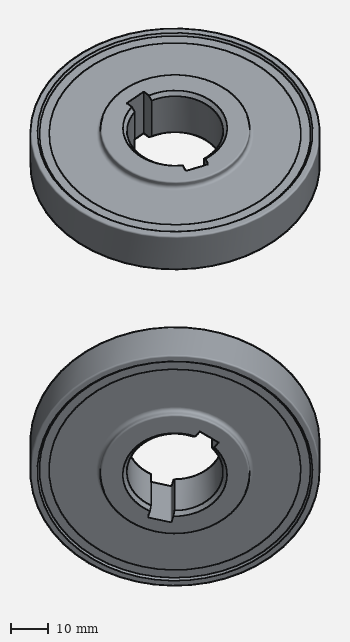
import cadquery as cq

wheel_radius = 38.1
rim_width = 12.7
rim_fillet = 0.45
split_radius = 66.2 / 2

recess_depth = 0.6
recess_top_radius = 36.2
recess_floor_radius = 35.65
web_width = rim_width - 2 * recess_depth

boss_radius = 39.3 / 2
boss_width = 15.85
boss_fillet = 0.45
boss_root_fillet = 1.0

bore_radius = 12.65
bore_chamfer = 1.1
main_key_width = 6.4
main_key_reach = 15.5
main_key_fillet = 0.4
second_key_width = 6.1
second_key_reach = 15.3
second_key_angle = 201.0


def keyway_cutter(width, reach, angle):
    """Bar running from the bore axis to the keyway floor, through the full boss width."""
    bar = cq.Workplane("XY").box(reach, width, boss_width, centered=(False, True, True))
    return bar.rotate((0, 0, 0), (0, 0, 1), angle)


def make_hub():
    """Disc with a boss on each face, a chamfered bore and two keyways."""
    web = cq.Workplane("XY").circle(split_radius).extrude(web_width / 2, both=True)
    boss = cq.Workplane("XY").circle(boss_radius).extrude(boss_width / 2, both=True)
    boss = boss.faces("<Z or >Z").edges().fillet(boss_fillet)
    hub = web.union(boss)

    root_edges = cq.selectors.RadiusNthSelector(0)
    for face_z in (-web_width / 2, web_width / 2):
        root_level = cq.selectors.BoxSelector(
            (-wheel_radius, -wheel_radius, face_z - boss_root_fillet / 2),
            (wheel_radius, wheel_radius, face_z + boss_root_fillet / 2),
            boundingbox=True,
        )
        hub = hub.edges(root_level).edges(root_edges).fillet(boss_root_fillet)

    hub = hub.cut(cq.Workplane("XY").circle(bore_radius).extrude(boss_width / 2, both=True))
    hub = hub.faces("<Z or >Z").edges(cq.selectors.RadiusNthSelector(0)).chamfer(bore_chamfer)

    main_key = keyway_cutter(main_key_width, main_key_reach, 0)
    main_key = main_key.edges("|Z and >X").fillet(main_key_fillet)
    second_key = keyway_cutter(second_key_width, second_key_reach, second_key_angle)
    return hub.cut(main_key).cut(second_key)


def make_ring():
    """Outer ring with a rounded rim and a recess with a sloping wall in each face."""
    rim_z = rim_width / 2
    web_z = web_width / 2
    section = (
        cq.Workplane("XZ")
        .moveTo(split_radius, -web_z)
        .lineTo(recess_floor_radius, -web_z)
        .lineTo(recess_top_radius, -rim_z)
        .lineTo(wheel_radius, -rim_z)
        .lineTo(wheel_radius, rim_z)
        .lineTo(recess_top_radius, rim_z)
        .lineTo(recess_floor_radius, web_z)
        .lineTo(split_radius, web_z)
        .close()
    )
    ring = section.revolve(360, (0, 0, 0), (0, 1, 0))
    rim_edges = cq.selectors.RadiusNthSelector(-1)
    return ring.edges("%CIRCLE").edges(rim_edges).fillet(rim_fillet)


hub = make_hub()
ring = make_ring()

result = cq.Compound.makeCompound([hub.val(), ring.val()])